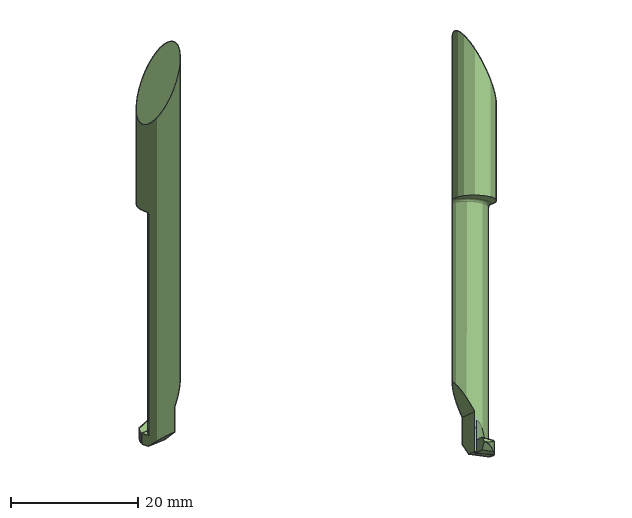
import cadquery as cq
import math

length = 68.3
shank_radius = 3.5
bevel_angle = 30.0
bevel_run = 1 / math.tan(math.radians(bevel_angle))

shoulder_z = 41.1
neck_left_x = -0.8
neck_edge_x = 1.3
shoulder_fillet = 0.4

foot_bottom_z = 0.15
flat_y = 0.35
flat_top_z = 6.6
corner_x = 1.2
corner_top_z = 2.25
relief_top_z = 5.2
relief_bottom_x = -0.375

tip_x = -3.4
tip_joint_x = -0.1
tip_top_z = 2.05
tip_chamfer_x = 0.75
tip_point_z = 1.195
side_clearance = 0.36
bottom_clearance = 0.08
flank_radius = 6.15
flank_end_x = -0.3

neck_half_width = math.sqrt(shank_radius**2 - neck_edge_x**2)
neck_arc_depth = neck_edge_x - neck_left_x
neck_arc_radius = (neck_half_width**2 + neck_arc_depth**2) / (2 * neck_arc_depth)
neck_arc_x = neck_left_x + neck_arc_radius


def xz_prism(points, y_start, y_end):
    """Prism with an XZ outline, between two Y planes."""
    plane = cq.Workplane("XZ", origin=(0, y_end, 0))
    return plane.polyline(points).close().extrude(y_end - y_start)


def yz_prism(points):
    """Prism with a YZ outline, spanning the full shank width."""
    return cq.Workplane("YZ").polyline(points).close().extrude(shank_radius + 0.7, both=True)


def make_neck_cut():
    """Material around the neck arc, with a rounded upper edge that leaves the shoulder fillet."""
    height = shoulder_z - foot_bottom_z
    base = cq.Workplane("XY", origin=(0, 0, foot_bottom_z))
    block = base.rect(4 * shank_radius, 4 * shank_radius).extrude(height)
    core = base.center(neck_arc_x, 0).circle(neck_arc_radius).extrude(height)
    return block.cut(core).faces(">Z").edges("%CIRCLE").fillet(shoulder_fillet)


def make_rod():
    """Full-diameter shank with the lens-section neck below the shoulder."""
    rod = cq.Workplane("XY", origin=(0, 0, foot_bottom_z)).circle(shank_radius).extrude(length - foot_bottom_z)
    return rod.cut(make_neck_cut())


def make_top_bevel():
    """Material above the oblique top face."""
    low_z = length - 2 * shank_radius * bevel_run
    return yz_prism([(-shank_radius, low_z), (shank_radius, length), (-shank_radius, length)])


def make_end_relief():
    """Material removed on the +Y side of the cutting end."""
    outer_y = shank_radius + 0.7
    slope_top_z = flat_top_z + (outer_y - flat_y) * bevel_run
    return yz_prism([(flat_y, 0), (flat_y, flat_top_z), (outer_y, slope_top_z), (outer_y, 0)])


def make_foot():
    """Part of the shank cylinder that backs the tip, in front of the neck arc."""
    height = tip_top_z - foot_bottom_z
    cylinder = cq.Workplane("XY", origin=(0, 0, foot_bottom_z)).circle(shank_radius).extrude(height)
    window = [
        (tip_joint_x, 0),
        (shank_radius, 0),
        (shank_radius, tip_top_z),
        (tip_joint_x, tip_top_z),
    ]
    return cylinder.intersect(xz_prism(window, -shank_radius, 0))


def make_corner_cut():
    """Sloping lower corner on the +X side."""
    points = [(corner_x, foot_bottom_z), (shank_radius, corner_top_z), (shank_radius, foot_bottom_z)]
    return xz_prism(points, -shank_radius, shank_radius)


def make_chip_relief():
    """Shallow sloping face on the neck, above the tip."""
    points = [
        (neck_left_x, relief_top_z),
        (relief_bottom_x, tip_top_z),
        (tip_x, tip_top_z),
        (tip_x, relief_top_z),
    ]
    return xz_prism(points, -shank_radius, 0)


def make_tip_seat():
    """Recess in the lower end of the neck that receives the tip."""
    points = [(tip_x, 0), (tip_joint_x, 0), (tip_joint_x, tip_top_z), (tip_x, tip_top_z)]
    return xz_prism(points, -shank_radius, 0)


def make_bar():
    bar = make_rod().union(make_foot())
    cuts = [make_top_bevel(), make_end_relief(), make_corner_cut(), make_chip_relief(), make_tip_seat()]
    for cut in cuts:
        bar = bar.cut(cut)
    return bar


def tip_profile(depth):
    """Pointed XZ outline of the tip at a depth behind the rake face."""
    point_x = tip_x + side_clearance * depth
    shoulder_x = point_x + tip_chamfer_x
    bottom_z = bottom_clearance * depth
    return [
        (tip_joint_x, bottom_z),
        (shoulder_x, bottom_z),
        (point_x, tip_point_z),
        (shoulder_x, tip_top_z),
        (tip_joint_x, tip_top_z),
    ]


def make_tip():
    """Tapered tooth with its rake face at Y = 0, trimmed by a curved flank."""
    tooth = (
        cq.Workplane("XZ")
        .polyline(tip_profile(0))
        .close()
        .workplane(offset=shank_radius)
        .polyline(tip_profile(shank_radius))
        .close()
        .loft(ruled=True)
    )
    flank_end_y = -math.sqrt(shank_radius**2 - flank_end_x**2)
    joint_y = -math.sqrt(shank_radius**2 - tip_joint_x**2)
    flank = (
        cq.Workplane("XY")
        .moveTo(tip_joint_x, 0)
        .lineTo(tip_x, 0)
        .radiusArc((flank_end_x, flank_end_y), -flank_radius)
        .lineTo(tip_joint_x, joint_y)
        .close()
        .extrude(tip_top_z)
    )
    return tooth.intersect(flank)


bar = make_bar()
tip = make_tip()
result = cq.Compound.makeCompound([bar.val(), tip.val()])